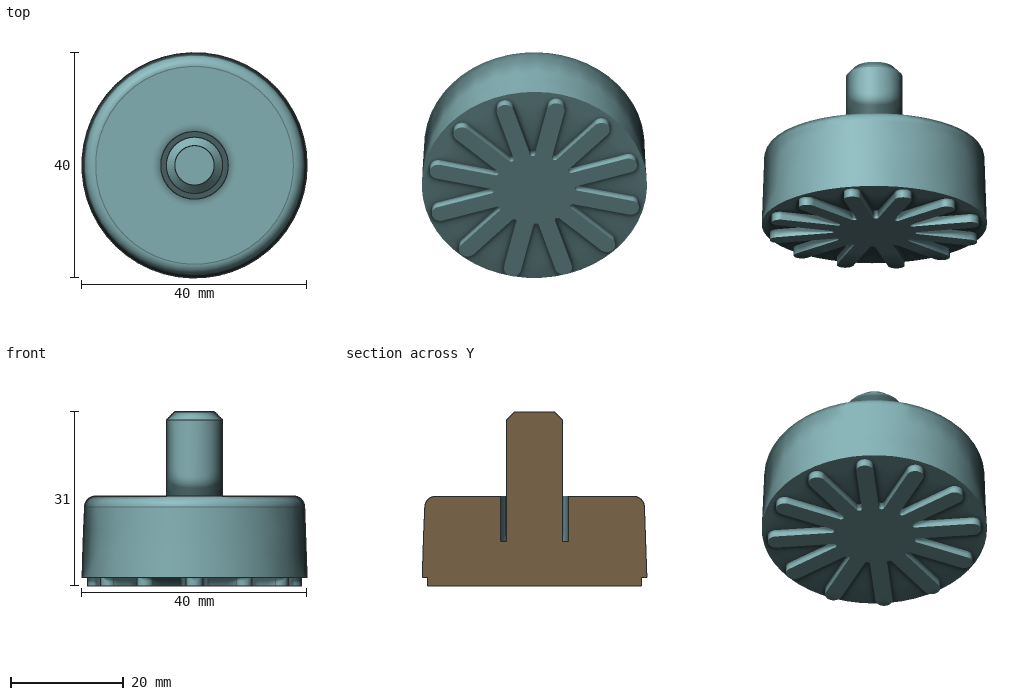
import cadquery as cq
import math

body_radius = 20.0
body_height = 14.5
draft_angle = 2.0
top_fillet = 2.0

stud_diameter = 10.0
stud_projection = 15.0
stud_chamfer = 1.5
well_diameter = 12.0
well_depth = 8.0

rib_count = 12
rib_width = 3.0
rib_height = 1.5
rib_tip_radius = 19.0
rib_root_fillet = 0.5

body_top = rib_height + body_height
well_floor = body_top - well_depth
stud_top = body_top + stud_projection


def make_body():
    """Drafted disc, narrower at the top, with its upper rim rounded."""
    top_radius = body_radius - body_height * math.tan(math.radians(draft_angle))
    cone = cq.Solid.makeCone(body_radius, top_radius, body_height, pnt=cq.Vector(0, 0, rib_height))
    disc = cq.Workplane("XY").newObject([cone])
    return disc.faces(">Z").edges().fillet(top_fillet)


def make_well():
    """Cylinder removed around the foot of the stud."""
    return (
        cq.Workplane("XY", origin=(0, 0, well_floor))
        .circle(well_diameter / 2)
        .extrude(well_depth)
    )


def make_stud():
    """Plain round stud rising from the well floor, chamfered at its tip."""
    shaft = (
        cq.Workplane("XY", origin=(0, 0, well_floor))
        .circle(stud_diameter / 2)
        .extrude(stud_top - well_floor)
    )
    return shaft.faces(">Z").edges().chamfer(stud_chamfer)


def make_tread():
    """Star of round-ended radial ribs; opposite ribs form one straight bar."""
    tread = cq.Workplane("XY")
    rib_pitch_angle = 360.0 / rib_count
    for index in range(rib_count // 2):
        rib_pair = (
            cq.Workplane("XY")
            .slot2D(2 * rib_tip_radius, rib_width, index * rib_pitch_angle)
            .extrude(rib_height)
        )
        tread = tread.union(rib_pair)

    root_distance = rib_width / 2 / math.sin(math.pi / rib_count)
    rib_end_center = rib_tip_radius - rib_width / 2
    selection_radius = (root_distance + rib_end_center) / 2
    root_zone = cq.selectors.BoxSelector(
        (-selection_radius, -selection_radius, 0),
        (selection_radius, selection_radius, rib_height),
    )
    return tread.edges("|Z").edges(root_zone).fillet(rib_root_fillet)


result = make_body().cut(make_well()).union(make_stud()).union(make_tread())